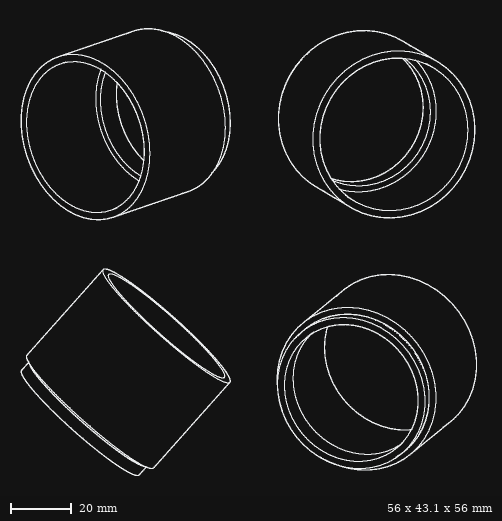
import cadquery as cq

outer_diameter = 56.0
total_length = 43.1

lip_diameter = 51.95
lip_length = 4.05
groove_diameter = 51.2
groove_width = 0.9
body_length = total_length - lip_length - groove_width

socket_diameter = 51.1
socket_depth = 35.0
bore_diameter = 47.05


def cylinder(diameter, start, length):
    """Solid cylinder along +Y, beginning at the given Y position."""
    plane = cq.Plane(origin=(0, start, 0), xDir=(1, 0, 0), normal=(0, 1, 0))
    return cq.Workplane(plane).circle(diameter / 2).extrude(length)


body = cylinder(outer_diameter, 0, body_length)
neck = cylinder(groove_diameter, 0, total_length)
lip = cylinder(lip_diameter, total_length - lip_length, lip_length)

bore = cylinder(bore_diameter, 0, total_length)
socket = cylinder(socket_diameter, 0, socket_depth)

result = body.union(neck).union(lip).cut(bore).cut(socket)